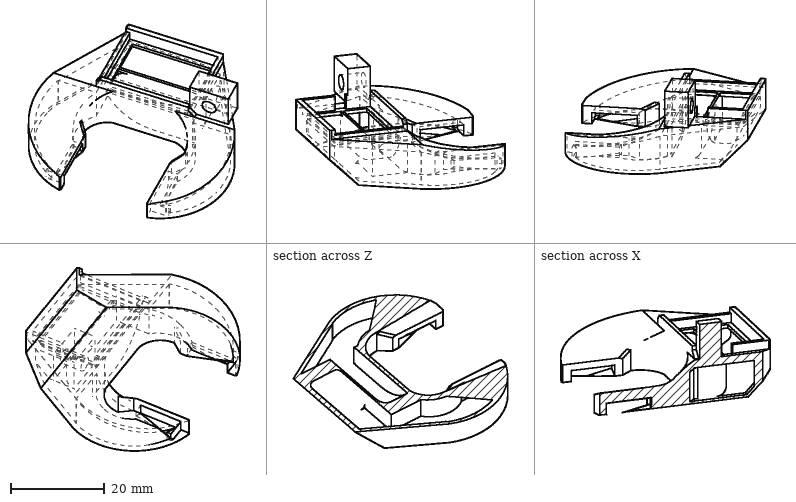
import cadquery as cq
import math


body_top = 10.0
body_depth = 17.6
total_width = 45.3
total_depth = 39.95
body_front_half = 21.1
body_back_half = 10.95
back_chamfer_y = 5.5
back_chamfer_z = 5.3

tray_half = 11.2
lip = 0.95
tray_inner_half = tray_half - lip
back_lip = 1.22
lip_back = body_depth - back_lip
ledge_z = 8.9
rail_top = 10.87
back_lip_top = 12.0
front_lip_top = 12.5
front_lip_foot = 1.55
gap_front, gap_back = 6.45, 8.93

lug_width, lug_depth, lug_top = 8.95, 5.07, 18.0
lug_hole_diameter = 3.2
lug_hole_z = 13.55

opening_half = 9.2
opening_front, opening_back = 2.1, 15.22
divider_front, divider_back = 7.45, 7.97
duct_wall = 1.0
duct_floor = 0.7
duct_roof = 8.1
chamber_back = 16.4
chamber_slope_base = 11.8
sweep_start = 1.75
sweep_radius = 12.0
chamber_fillet = 2.0
divider_foot_fillet = 0.95
plenum_start = tray_half

arm_end_x = 12.05
arm_end_top = 5.05
outer_radius = 15.95
outer_center_x = total_width / 2 - outer_radius
outer_start_angle = math.acos((body_front_half - outer_center_x) / outer_radius)
outer_end_angle = -math.acos((arm_end_x - outer_center_x) / outer_radius)
outer_center_y = -outer_radius * math.sin(outer_start_angle)
inner_start_x = 7.25
inner_radius = 6.0
inner_center_x = arm_end_x - inner_radius
inner_start_angle = math.acos((inner_start_x - inner_center_x) / inner_radius)
inner_center_y = -inner_radius * math.sin(inner_start_angle)
arm_sections = 9

plate_x = 9.95
plate_edge_top = 4.05
plate_back = -8.5
plate_tip_bevel = 0.25
plate_chamfer_down = 0.25
plate_chamfer_along = 0.6
outlet_back, outlet_front = -10.25, -20.2
outlet_top = 2.5
outlet_floor = 0.1
outlet_reach = 3.45
outlet_flare = 60
outlet_depth_x = 14.25


def box(x0, x1, y0, y1, z0, z1):
    """Axis-aligned block between two opposite corners."""
    return cq.Workplane("XY").box(x1 - x0, y1 - y0, z1 - z0, centered=False).translate((x0, y0, z0))


def mirrored(shape):
    return shape.mirror("YZ")


def prism_along_x(outline, half_length):
    """Outline of (y, z) points extruded symmetrically about X = 0."""
    return cq.Workplane("YZ").polyline(outline).close().extrude(half_length, both=True)


def trapezoid(inset, height):
    """Plan shape of the body, with the slanted sides moved inward by inset."""
    slant = math.hypot(body_front_half - body_back_half, body_depth) / body_depth
    front = body_front_half - inset * slant
    back = body_back_half - inset * slant
    outline = [(-front, 0), (front, 0), (back, body_depth), (-back, body_depth)]
    return cq.Workplane("XY").polyline(outline).close().extrude(height)


def body():
    below_chamfer = prism_along_x(
        [
            (body_depth - back_chamfer_y, 0),
            (body_depth, 0),
            (body_depth, back_chamfer_z),
        ],
        body_front_half,
    )
    block = trapezoid(0, back_lip_top).cut(below_chamfer)
    shoulders = box(tray_half, body_front_half, 0, body_depth, body_top, lug_top)
    return block.cut(shoulders).cut(mirrored(shoulders))


def tray_recess():
    """Space inside the tray, over its low left rail and through the gap in its right wall."""
    inside = box(-tray_inner_half, tray_inner_half, lip, lip_back, ledge_z, lug_top)
    above_rail = box(-tray_half, -tray_inner_half, lip, lip_back, rail_top, lug_top)
    side_gap = box(tray_inner_half, tray_half, gap_front, gap_back, ledge_z, lug_top)
    return inside.union(above_rail).union(side_gap)


def front_lip():
    """Front wall of the tray, chamfered at the left and footed at the right."""
    outline = [
        (-tray_half, ledge_z),
        (-tray_half, front_lip_top - lip),
        (-tray_inner_half, front_lip_top),
        (tray_inner_half, front_lip_top),
        (tray_inner_half, body_top + front_lip_foot),
        (tray_inner_half + front_lip_foot, body_top),
        (tray_inner_half + front_lip_foot, ledge_z),
    ]
    return cq.Workplane("XZ").polyline(outline).close().extrude(-lip)


def front_lip_clearance():
    """Space above the body in front of the tray, refilled by the front lip."""
    return box(-tray_half, tray_half, 0, lip, body_top, lug_top)


def lug():
    x0 = tray_inner_half
    block = box(x0, x0 + lug_width, lip, lip + lug_depth, body_top, lug_top)
    hole = (
        cq.Workplane("XZ")
        .center(x0 + lug_width / 2, lug_hole_z)
        .circle(lug_hole_diameter / 2)
        .extrude(-body_depth)
    )
    return block.cut(hole)


def swept_floor(direction, y0, y1):
    """Chamber with a floor that curves up at the closed end and runs flat toward direction."""
    sweep_angle = math.acos(1 - (duct_roof - duct_floor) / sweep_radius)

    def on_sweep(angle):
        x = sweep_start - sweep_radius * math.sin(angle)
        return direction * x, duct_floor + sweep_radius * (1 - math.cos(angle))

    return (
        cq.Workplane("XZ")
        .moveTo(direction * body_front_half, duct_roof)
        .lineTo(direction * body_front_half, duct_floor)
        .lineTo(direction * sweep_start, duct_floor)
        .threePointArc(on_sweep(sweep_angle / 2), on_sweep(sweep_angle))
        .close()
        .extrude(-(y1 - y0))
        .translate((0, y0, 0))
    )


def sloped_profile(y0):
    """Room between y0 and the back wall, over the slope above the outer back chamfer."""
    outline = [
        (y0, 0),
        (chamber_slope_base - duct_floor, 0),
        (chamber_back, chamber_back - chamber_slope_base + duct_floor),
        (chamber_back, duct_roof),
        (y0, duct_roof),
    ]
    return prism_along_x(outline, body_front_half)


def front_chamber():
    """Chamber in front of the divider, feeding the right arm."""
    chamber = swept_floor(1, duct_wall, divider_front)
    divider_foot = cq.NearestToPointSelector((opening_half, divider_front, duct_floor))
    chamber = chamber.edges(divider_foot).fillet(chamber_fillet)
    return chamber.intersect(trapezoid(duct_wall, body_top))


def back_chamber():
    """Chamber behind the divider, feeding the left arm."""
    chamber = swept_floor(-1, divider_back, body_depth).intersect(sloped_profile(divider_back))
    slope_foot = cq.NearestToPointSelector((-opening_half, chamber_slope_base, duct_floor))
    chamber = chamber.edges(slope_foot).fillet(chamber_fillet)
    slope_top_z = chamber_back - chamber_slope_base + duct_floor
    slope_top = cq.NearestToPointSelector((-opening_half, chamber_back, slope_top_z))
    chamber = chamber.edges(slope_top).fillet(chamber_fillet)
    divider_foot = cq.NearestToPointSelector((opening_half / 2, divider_back, duct_floor + divider_foot_fillet))
    filleted = chamber.edges(divider_foot).fillet(divider_foot_fillet)
    flat_part = box(-body_front_half, -sweep_start, 0, body_depth, 0, body_top)
    chamber = filleted.union(chamber.intersect(flat_part))
    return chamber.intersect(trapezoid(duct_wall, body_top))


def plenum():
    """Hollow beside the chambers, leading to the root of the right arm."""
    room = box(plenum_start, body_front_half, 0, body_depth, duct_floor, duct_roof)
    return room.intersect(sloped_profile(0)).intersect(trapezoid(duct_wall, body_top))


def tray_openings():
    """Two openings in the tray floor, one on each side of the divider."""
    front = box(-opening_half, opening_half, opening_front, divider_front, duct_roof, ledge_z)
    back = box(-opening_half, opening_half, divider_back, opening_back, duct_roof, ledge_z)
    return front.union(back)


def blend(start, end, t):
    return start + (end - start) * t


def inner_point(t):
    angle = blend(inner_start_angle, 0, t)
    return inner_center_x + inner_radius * math.cos(angle), inner_center_y + inner_radius * math.sin(angle)


def outer_point(t):
    angle = blend(outer_start_angle, outer_end_angle, t)
    return outer_center_x + outer_radius * math.cos(angle), outer_center_y + outer_radius * math.sin(angle)


def arm_loft(inner_inset, outer_inset, floor, top):
    """Loft of upright sections turning from the body front to the arm end.

    Each argument is a (body end, arm end) pair that changes evenly along the arm.
    """
    wires = []
    for i in range(arm_sections):
        t = i / (arm_sections - 1)
        (xi, yi), (xo, yo) = inner_point(t), outer_point(t)
        length = math.hypot(xo - xi, yo - yi)
        near = blend(*inner_inset, t) / length
        far = 1 - blend(*outer_inset, t) / length
        z0, z1 = blend(*floor, t), blend(*top, t)
        a = (blend(xi, xo, near), blend(yi, yo, near))
        b = (blend(xi, xo, far), blend(yi, yo, far))
        corners = [(*a, z0), (*b, z0), (*b, z1), (*a, z1)]
        wires.append(cq.Wire.makePolygon([cq.Vector(*c) for c in corners], close=True))
    return cq.Workplane(cq.Solid.makeLoft(wires))


def arm():
    return arm_loft((0, 0), (0, 0), (0, 0), (body_top, arm_end_top))


def arm_duct():
    """Air passage inside the arm, narrowing to the outlet."""
    end_y = outer_point(1)[1]
    return arm_loft(
        (plenum_start - inner_start_x, inner_center_y - outlet_back),
        (duct_wall, outlet_front - end_y),
        (duct_floor, outlet_floor),
        (duct_roof, outlet_top),
    )


def clip_plate():
    """Flat plate along the arm end; its top falls toward the free edge."""
    tip_y = body_depth - total_depth
    end_x, end_y = outer_point(1)
    plan = (
        cq.Workplane("XY")
        .moveTo(end_x, inner_center_y)
        .lineTo(plate_x, plate_back)
        .lineTo(plate_x, tip_y + plate_tip_bevel)
        .lineTo(plate_x + plate_tip_bevel, tip_y)
        .lineTo(end_x, end_y)
        .close()
        .extrude(arm_end_top)
    )
    profile = [(plate_x, 0), (arm_end_x, 0), (arm_end_x, arm_end_top), (plate_x, plate_edge_top)]
    beveled = cq.Workplane("XZ").polyline(profile).close().extrude(total_depth)
    plate = plan.intersect(beveled)
    back_top_edge = cq.NearestToPointSelector((
        (plate_x + arm_end_x) / 2,
        (plate_back + inner_center_y) / 2,
        (plate_edge_top + arm_end_top) / 2,
    ))
    return plate.edges(back_top_edge).chamfer(plate_chamfer_down, plate_chamfer_along)


def outlet():
    """Window through the clip plate; its floor starts on a slanted line and rises outward."""
    floor_triangle = [
        (plate_x, outlet_back),
        (plate_x, outlet_front),
        (plate_x + outlet_reach, outlet_front),
    ]
    flared = cq.Workplane("XY").polyline(floor_triangle).close().extrude(outlet_top, taper=-outlet_flare)
    return flared.intersect(box(plate_x, outlet_depth_x, outlet_front, outlet_back, 0, outlet_top))


right_arm = arm().union(clip_plate())
right_duct = arm_duct().union(outlet()).union(plenum())

result = (
    body()
    .cut(tray_recess())
    .cut(front_lip_clearance())
    .union(front_lip())
    .union(lug())
    .union(right_arm)
    .union(mirrored(right_arm))
    .cut(front_chamber())
    .cut(back_chamber())
    .cut(tray_openings())
    .cut(right_duct)
    .cut(mirrored(right_duct))
)